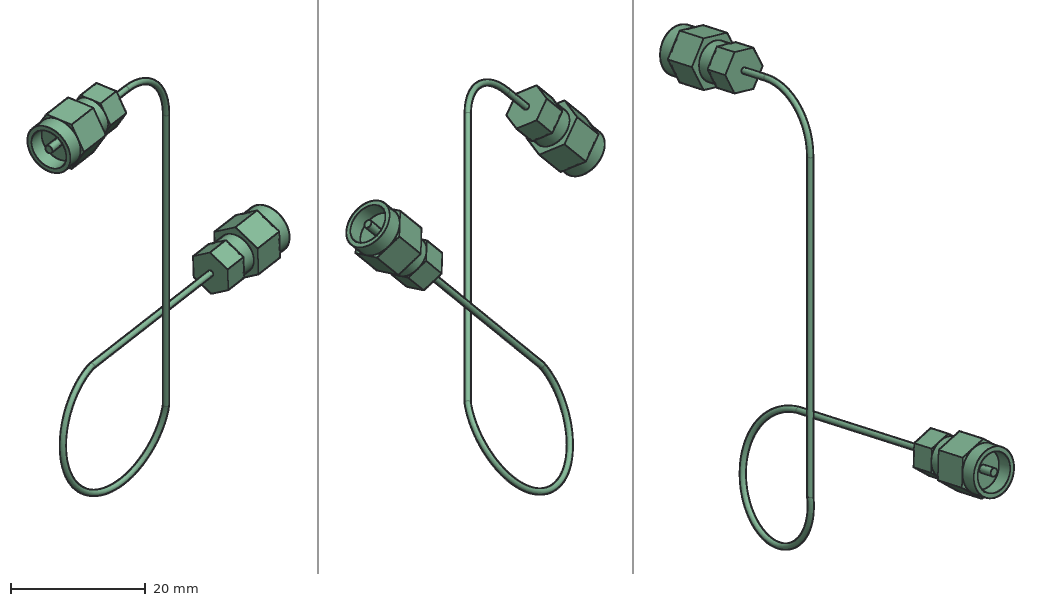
import cadquery as cq
import math

cable_diameter = 1.0
bend_radius = 10.0
loop_turns = 0.75
loop_shift = 6.3
overall_height = 76.9

coupling_flats = 8.0
coupling_length = 5.45
rim_diameter = 7.9
rim_length = 2.5
neck_diameter = 6.45
neck_length = 2.45
rear_flats = 6.4
rear_length = 4.0
bore_diameter = 6.4
bore_depth = 2.5
pin_diameter = 1.3
lower_roll = 28.0

lower_connector_y = 29.8
upper_connector_y = -5.0
loop_bottom_z = -bend_radius - cable_diameter / 2
upper_axis_z = loop_bottom_z + overall_height - coupling_flats / 2
upper_bend_z = upper_axis_z - bend_radius


def hexagon_corners(across_flats):
    """Corner-to-corner size of a regular hexagon."""
    return across_flats / math.cos(math.radians(30))


def make_connector():
    """Connector with its rear face on XY, opening toward +Z, hex corners on X."""
    shell = (
        cq.Workplane("XY")
        .polygon(6, hexagon_corners(rear_flats)).extrude(rear_length)
        .faces(">Z").workplane().circle(neck_diameter / 2).extrude(neck_length)
        .faces(">Z").workplane().polygon(6, hexagon_corners(coupling_flats)).extrude(coupling_length)
        .faces(">Z").workplane().circle(rim_diameter / 2).extrude(rim_length)
        .faces(">Z").workplane().circle(bore_diameter / 2).cutBlind(-bore_depth)
    )
    bore_floor = rear_length + neck_length + coupling_length + rim_length - bore_depth
    pin = (
        cq.Workplane("XY", origin=(0, 0, bore_floor))
        .circle(pin_diameter / 2).extrude(bore_depth)
    )
    return shell.union(pin)


def place_connector(tilt, roll, position):
    """Roll a connector about its axis, tilt it about X and move it into place."""
    return (
        make_connector()
        .rotate((0, 0, 0), (0, 0, 1), roll)
        .rotate((0, 0, 0), (1, 0, 0), tilt)
        .translate(position)
    )


def make_lower_run():
    """Straight cable from the top of the loop to the lower connector."""
    return (
        cq.Workplane("XZ", origin=(0, 0, bend_radius))
        .circle(cable_diameter / 2).extrude(-lower_connector_y)
    )


def make_loop():
    """Three-quarter helical turn joining the lower run to the vertical run."""
    helix = (
        cq.Wire.makeHelix(loop_shift / loop_turns, loop_shift, bend_radius)
        .rotate(cq.Vector(0, 0, 0), cq.Vector(0, 1, 0), 90)
        .rotate(cq.Vector(0, 0, 0), cq.Vector(1, 0, 0), 180)
    )
    profile = cq.Workplane("XZ", origin=(0, 0, bend_radius)).circle(cable_diameter / 2)
    return profile.sweep(cq.Workplane(helix), isFrenet=True)


def make_upper_run():
    """Vertical cable that bends over toward the upper connector."""
    bend_midpoint = bend_radius * math.sin(math.radians(45))
    path = (
        cq.Workplane("YZ", origin=(loop_shift, 0, 0))
        .moveTo(bend_radius, 0)
        .lineTo(bend_radius, upper_bend_z)
        .threePointArc((bend_midpoint, upper_bend_z + bend_midpoint), (0, upper_axis_z))
        .lineTo(upper_connector_y, upper_axis_z)
    )
    profile = cq.Workplane("XY", origin=(loop_shift, bend_radius, 0)).circle(cable_diameter / 2)
    return profile.sweep(path)


cable = make_lower_run().union(make_loop()).union(make_upper_run())
lower_connector = place_connector(-90, lower_roll, (0, lower_connector_y, bend_radius))
upper_connector = place_connector(90, 0, (loop_shift, upper_connector_y, upper_axis_z))

result = cq.Compound.makeCompound([cable.val(), lower_connector.val(), upper_connector.val()])